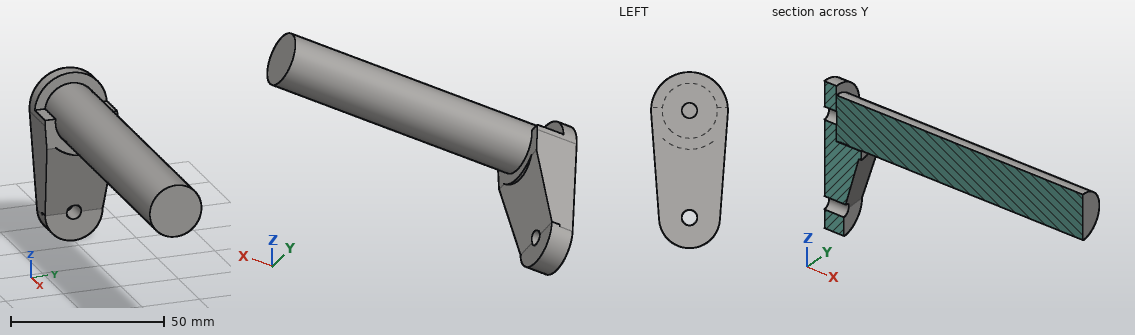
import cadquery as cq
import math

bar_radius = 18 / 2
bar_length = 100

plate_thickness = 5
head_radius = 12.6
foot_radius = 10
hole_spacing = 35
hole_diameter = 5
cradle_end = 15
cradle_rim = 1.1
foot_thickness = 8

foot_center = -hole_spacing
side_sine = (head_radius - foot_radius) / hole_spacing
side_cosine = math.sqrt(1 - side_sine**2)
head_tangent = (head_radius * side_cosine, -head_radius * side_sine)
foot_tangent = (foot_radius * side_cosine, foot_center - foot_radius * side_sine)


def mirrored(point):
    return (-point[0], point[1])


def disc(start, center_z, radius, length):
    """Round solid along X from start, with its axis at height center_z."""
    return cq.Workplane("YZ", origin=(start, 0, center_z)).circle(radius).extrude(length)


def tapered_slab(thickness):
    """Slab from X = 0 with a round head, straight sides and a smaller round foot."""
    return (
        cq.Workplane("YZ")
        .moveTo(*head_tangent)
        .threePointArc((0, head_radius), mirrored(head_tangent))
        .lineTo(*mirrored(foot_tangent))
        .threePointArc((0, foot_center - foot_radius), foot_tangent)
        .close()
        .extrude(thickness)
    )


def cradle_block():
    """Sloped block behind the plate, flush with its sides, from foot centre to cradle rim."""
    profile = (
        cq.Workplane("XZ")
        .polyline([
            (plate_thickness, foot_center),
            (foot_thickness, foot_center),
            (cradle_end, -bar_radius),
            (cradle_end, cradle_rim),
            (plate_thickness, cradle_rim),
        ])
        .close()
        .extrude(head_radius, both=True)
    )
    return tapered_slab(cradle_end).intersect(profile)


def cradle_ring():
    """Round wall under the bar, concentric with it and cut level at the rim."""
    ring = disc(plate_thickness, 0, head_radius, cradle_end - plate_thickness)
    below_rim = (
        cq.Workplane("XY", origin=(plate_thickness, 0, cradle_rim))
        .rect(2 * cradle_end, 2 * head_radius)
        .extrude(-2 * head_radius)
    )
    return ring.intersect(below_rim)


def make_bar():
    return disc(plate_thickness, 0, bar_radius, bar_length)


def make_bracket():
    plate = tapered_slab(plate_thickness)
    foot = disc(0, foot_center, foot_radius, foot_thickness)
    body = plate.union(foot).union(cradle_block()).union(cradle_ring()).cut(make_bar())
    head_hole = disc(0, 0, hole_diameter / 2, plate_thickness)
    foot_hole = disc(0, foot_center, hole_diameter / 2, cradle_end)
    return body.cut(head_hole).cut(foot_hole)


bracket = make_bracket()
bar = make_bar()

result = cq.Compound.makeCompound([bracket.val(), bar.val()])